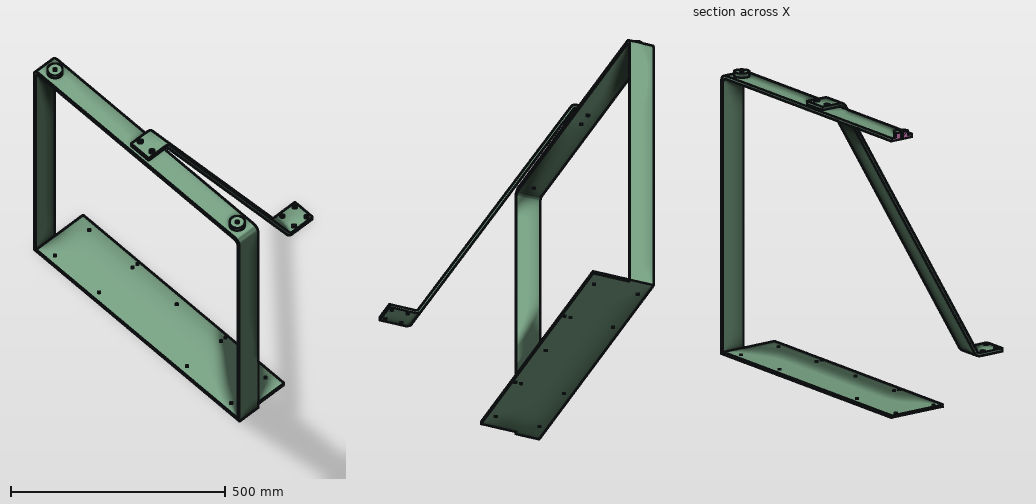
import cadquery as cq
import math

stock = 8.0
bar_width = 60.0
inner_bend = 10.0
outer_bend = inner_bend + stock

countersink_angle = 90.0

frame_length = 700.0
frame_height = 680.0
overall_height = 690.33
base_depth = 150.0
base_thickness = 6.0
base_length = frame_length - 2 * stock

base_hole_diameter = 5.0
base_hole_pitch = 150.0
base_front_row_y = 20.0
base_back_row_y = 128.0
base_corner_hole_y = 130.0
edge_hole_diameter = 5.0
edge_row_y = 143.0

pad_diameter = 36.0
pad_height = overall_height - frame_height
pad_hole_diameter = 5.0
pad_countersink_diameter = 8.0
pad_x = 310.0
bar_middle_y = bar_width / 2

overall_depth = 534.62
brace_bend_start_y = 61.2
brace_angle = math.radians(60)
brace_front_y = 10.0
brace_hole_spacing = 40.0
brace_screw_diameter = 6.5
brace_countersink_diameter = 12.5
foot_hole_diameter = 5.5
foot_countersink_diameter = 10.0
foot_hole_margin = 10.0


def make_cylinders(points, diameter, bottom_z, depth):
    """Vertical cylinders of one diameter standing on height bottom_z."""
    return (
        cq.Workplane("XY", origin=(0, 0, bottom_z))
        .pushPoints(points)
        .circle(diameter / 2)
        .extrude(depth)
    )


def cut_countersunk_holes(body, points, top_z, diameter, countersink_diameter, depth):
    """Drill countersunk holes downward from a horizontal face at height top_z."""
    return (
        body.copyWorkplane(cq.Workplane("XY", origin=(0, 0, top_z)))
        .pushPoints(points)
        .cskHole(diameter, countersink_diameter, countersink_angle, depth=depth)
    )


def make_bent_bar():
    """U-shaped bar with its two upper corners bent."""
    outside = (
        cq.Workplane("XY")
        .box(frame_length, bar_width, frame_height, centered=(True, False, False))
        .edges("|Y and >Z")
        .fillet(outer_bend)
    )
    inside = (
        cq.Workplane("XY")
        .box(base_length, bar_width, frame_height - stock, centered=(True, False, False))
        .edges("|Y and >Z")
        .fillet(inner_bend)
    )
    return outside.cut(inside)


def make_base_plate():
    """Base plate between the bar legs, with two rows of holes and two more holes near its back edge."""
    plate = cq.Workplane("XY").box(base_length, base_depth, base_thickness, centered=(True, False, False))
    front_row = [(step * base_hole_pitch, base_front_row_y) for step in (-2, -1, 1, 2)]
    back_row = [(step * base_hole_pitch, base_back_row_y) for step in (-1, 0, 1)]
    back_row += [(step * base_hole_pitch, base_corner_hole_y) for step in (-2, 2)]
    edge_row = [(side * base_hole_pitch, edge_row_y) for side in (-1, 1)]
    plate = plate.cut(make_cylinders(front_row + back_row, base_hole_diameter, 0, base_thickness))
    return plate.cut(make_cylinders(edge_row, edge_hole_diameter, 0, base_thickness))


def make_brace():
    """Strap bent twice: flat on the top bar, sloping down and back, flat again at floor level."""
    top_z = frame_height + stock
    sine = math.sin(brace_angle)
    cosine = math.cos(brace_angle)
    half_sine = math.sin(brace_angle / 2)
    half_cosine = math.cos(brace_angle / 2)

    upper_y = brace_bend_start_y
    upper_z = top_z - outer_bend
    lower_z = outer_bend
    slope_drop = upper_z - lower_z + (outer_bend + inner_bend) * cosine
    slope_run = slope_drop / math.tan(brace_angle)
    lower_y = upper_y + (outer_bend + inner_bend) * sine + slope_run

    def upper_bend(radius):
        middle = (upper_y + radius * half_sine, upper_z + radius * half_cosine)
        end = (upper_y + radius * sine, upper_z + radius * cosine)
        return middle, end

    def lower_bend(radius):
        middle = (lower_y - radius * half_sine, lower_z - radius * half_cosine)
        start = (lower_y - radius * sine, lower_z - radius * cosine)
        return middle, start

    top_middle, top_end = upper_bend(outer_bend)
    under_middle, under_end = upper_bend(inner_bend)
    foot_top_middle, foot_top_start = lower_bend(inner_bend)
    foot_under_middle, foot_under_start = lower_bend(outer_bend)

    return (
        cq.Workplane("YZ")
        .moveTo(brace_front_y, top_z)
        .lineTo(upper_y, top_z)
        .threePointArc(top_middle, top_end)
        .lineTo(*foot_top_start)
        .threePointArc(foot_top_middle, (lower_y, stock))
        .lineTo(overall_depth, stock)
        .lineTo(overall_depth, 0)
        .lineTo(lower_y, 0)
        .threePointArc(foot_under_middle, foot_under_start)
        .lineTo(*under_end)
        .threePointArc(under_middle, (upper_y, frame_height))
        .lineTo(brace_front_y, frame_height)
        .close()
        .extrude(bar_width / 2, both=True)
    )


def cut_foot_holes(body):
    """Four countersunk holes through the foot of the brace."""
    foot_back_y = overall_depth - foot_hole_margin
    half_spacing = brace_hole_spacing / 2
    points = [
        (side * half_spacing, y)
        for side in (-1, 1)
        for y in (foot_back_y, foot_back_y - brace_hole_spacing)
    ]
    return cut_countersunk_holes(body, points, stock, foot_hole_diameter, foot_countersink_diameter, stock)


def cut_brace_screws(body):
    """Two countersunk screw holes through the brace and the top bar."""
    half_spacing = brace_hole_spacing / 2
    points = [(side * half_spacing, bar_middle_y) for side in (-1, 1)]
    brace_top_z = frame_height + stock
    return cut_countersunk_holes(
        body, points, brace_top_z, brace_screw_diameter, brace_countersink_diameter, 2 * stock
    )


def add_pads(body):
    """Round pads near the ends of the top bar, each with a countersunk hole through pad and bar."""
    points = [(side * pad_x, bar_middle_y) for side in (-1, 1)]
    body = body.union(make_cylinders(points, pad_diameter, frame_height, pad_height))
    return cut_countersunk_holes(
        body, points, overall_height, pad_hole_diameter, pad_countersink_diameter, pad_height + stock
    )


frame = make_bent_bar().union(make_base_plate()).union(make_brace())
frame = cut_foot_holes(frame)
frame = cut_brace_screws(frame)
result = add_pads(frame)